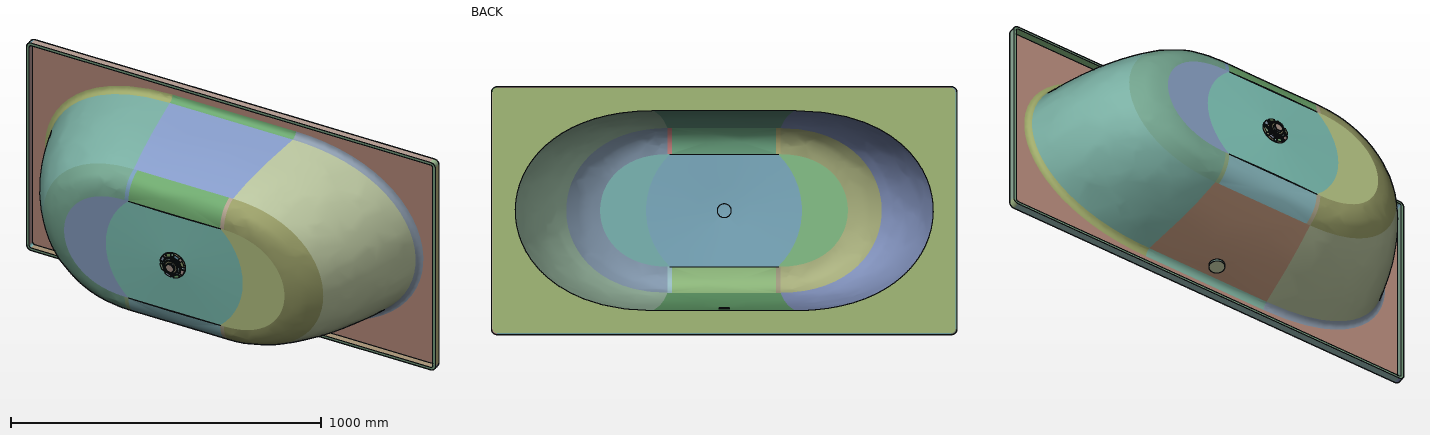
import cadquery as cq

rim_length = 1499.0
rim_width = 799.0
rim_corner_radius = 18.0
rim_edge_radius = 5.0
skirt_depth = 28.0
skirt_thickness = 10.0
wall = 5.0

lip_section = (wall, 678.0, 327.0, 228.0)
bend_section = (347.0, 513.0, 270.0, 182.0)
floor_section = (408.0, 404.0, 186.0, 182.0)
wall_sections = [
    lip_section,
    (130.0, 637.0, 315.0, 211.0),
    (240.0, 586.0, 298.0, 196.0),
    bend_section,
]
bend_sections = [
    bend_section,
    (382.0, 470.0, 250.0, 182.0),
    (401.0, 428.0, 222.0, 182.0),
    floor_section,
]
bend_strip = 14.0
rim_to_bowl_radius = 21.0

dish_radius = 251.0
dish_fall = 10.0
dish_depth = floor_section[0] + dish_fall

drain_end_depth = 441.7
drain_flange_diameter = 90.0
drain_flange_depth = 424.0
drain_notch_count = 8
drain_notch_width = 11.0
drain_notch_bottom_depth = 420.0
drain_nut_diameter = 66.0
drain_nut_face_diameter = 61.06
drain_nut_depth = 431.0
drain_collar_diameter = 52.0
drain_collar_depth = 432.5
drain_sleeve_diameter = 45.0
drain_sleeve_depth = 434.0
drain_outlet_diameter = 32.0
drain_outlet_face_diameter = 29.0
drain_neck_diameter = 45.0

overflow_depth = 76.0
overflow_face = 331.0
overflow_tilt = 5.0
overflow_diameter = 52.0
overflow_thickness = 9.0
overflow_neck_diameter = 34.5
overflow_neck_length = 9.0


def at_depth(depth):
    """Workplane parallel to the rim, facing the bowl bottom."""
    return cq.Workplane("XZ", origin=(0, -depth, 0))


def disc(diameter, start_depth, end_depth):
    return at_depth(start_depth).circle(diameter / 2).extrude(end_depth - start_depth)


def bowl_wire(section, inset, strip):
    """Straight sides joined by round ends, each one cubic curve; a strip width splits the ends off the sides."""
    depth, half_length, half_width, straight = section
    y = inset - depth
    top = half_width - inset
    handle = straight + (half_length - inset - straight) / 0.75
    stops = [-straight, straight]
    if strip:
        stops = [-straight, strip - straight, straight - strip, straight]

    def side(sign):
        points = [cq.Vector(sign * x, y, -sign * top) for x in stops]
        return [cq.Edge.makeLine(a, b) for a, b in zip(points, points[1:])]

    def end(sign):
        corners = [(straight, -top), (handle, -top), (handle, top), (straight, top)]
        return cq.Edge.makeBezier([cq.Vector(sign * x, y, sign * z) for x, z in corners])

    return cq.Wire.assembleEdges([*side(1), end(1), *side(-1), end(-1)])


def loft(sections, inset, strip=0.0):
    wires = [bowl_wire(section, inset, strip) for section in sections]
    return cq.Workplane(cq.Solid.makeLoft(wires))


def make_dish(inset):
    """Cone under the floor, trimmed to the floor outline."""
    top = floor_section[0] - inset
    cone = cq.Workplane(cq.Solid.makeCone(dish_radius, 0, dish_fall, cq.Vector(0, -top, 0), cq.Vector(0, -1, 0)))
    outline = cq.Solid.extrudeLinear(bowl_wire(floor_section, inset, bend_strip), [], cq.Vector(0, -dish_fall, 0))
    return cone.intersect(cq.Workplane(outline))


def make_bowl(inset):
    """Bowl volume pulled in by the inset on its sides and floor."""
    upper = loft(wall_sections, inset)
    lower = loft(bend_sections, inset, bend_strip)
    return upper.union(lower).union(make_dish(inset))


def make_rim():
    """Flat flange with a turned-down skirt, open on the bowl side."""
    slab = (
        at_depth(0).rect(rim_length, rim_width).extrude(skirt_depth)
        .edges("|Y").fillet(rim_corner_radius)
        .faces(">Y").edges().fillet(rim_edge_radius)
    )
    recess = (
        at_depth(wall)
        .rect(rim_length - 2 * skirt_thickness, rim_width - 2 * skirt_thickness)
        .extrude(skirt_depth)
        .edges("|Y").fillet(rim_corner_radius - skirt_thickness)
    )
    return slab.cut(recess)


def make_tub():
    body = make_rim().union(make_bowl(0))
    box = cq.selectors.BoxSelector(
        (-lip_section[1] - 1, -wall - 1, -lip_section[2] - 1),
        (lip_section[1] + 1, -wall + 1, lip_section[2] + 1),
        boundingbox=True,
    )
    body = body.edges(box).fillet(rim_to_bowl_radius)
    return body.cut(make_bowl(wall))


def make_drain_flange():
    """Round flange with radial notches around its edge."""
    flange = disc(drain_flange_diameter, dish_depth - wall / 2, drain_flange_depth)
    radius = drain_flange_diameter / 2
    notches = (
        at_depth(drain_notch_bottom_depth)
        .polarArray(radius, 0, 360, drain_notch_count)
        .rect(2 * radius - drain_nut_diameter, drain_notch_width)
        .extrude(drain_flange_depth - drain_notch_bottom_depth)
    )
    return flange.cut(notches)


def make_drain():
    nut_chamfer = (drain_nut_diameter - drain_nut_face_diameter) / 2
    outlet_chamfer = (drain_outlet_diameter - drain_outlet_face_diameter) / 2
    nut = disc(drain_nut_diameter, drain_flange_depth, drain_nut_depth).faces("<Y").chamfer(nut_chamfer)
    outlet = disc(drain_outlet_diameter, drain_sleeve_depth, drain_end_depth).faces("<Y").chamfer(outlet_chamfer)
    return (
        disc(drain_neck_diameter, dish_depth - wall, drain_flange_depth)
        .union(make_drain_flange())
        .union(nut)
        .union(disc(drain_collar_diameter, drain_nut_depth, drain_collar_depth))
        .union(disc(drain_sleeve_diameter, drain_collar_depth, drain_sleeve_depth))
        .union(outlet)
    )


def make_overflow():
    """Disc lying against the lower long side, with a neck through the wall."""
    face = cq.Workplane("XY", origin=(0, -overflow_depth, -overflow_face)).transformed(rotate=(-overflow_tilt, 0, 0))
    body = face.circle(overflow_diameter / 2).extrude(overflow_thickness)
    neck_height = overflow_thickness + overflow_neck_length
    return body.union(face.circle(overflow_neck_diameter / 2).extrude(neck_height))


drain = make_drain()
overflow = make_overflow()
tub = make_tub().cut(drain).cut(overflow)

result = cq.Compound.makeCompound([tub.val(), drain.val(), overflow.val()])